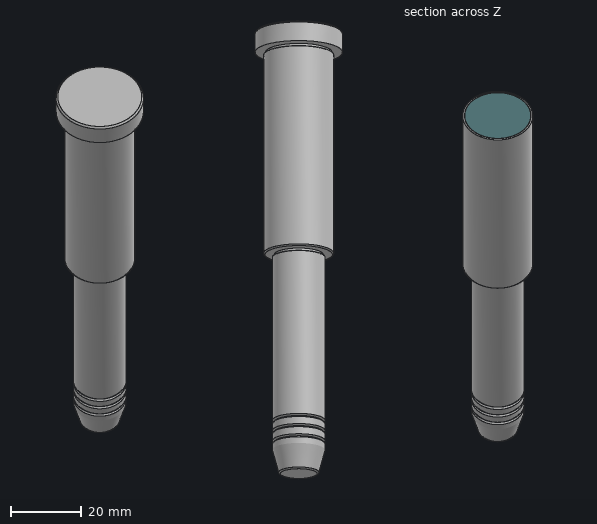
import cadquery as cq
import math

total_length = 131.0
head_diameter = 25.0
head_height = 6.0
head_chamfer = 0.5
body_diameter = 20.0
body_end_depth = 66.0
body_chamfer = 0.4
shank_diameter = 15.0

taper_height = 7.0
taper_angle = 15.0
tip_chamfer = 0.4

relief_depth = 0.5
relief_width = 0.8
groove_depth = 0.5
groove_width = 0.9
groove_count = 3
groove_pitch = 3.0
lowest_groove_height = 9.3

top = total_length / 2
bottom = -total_length / 2
head_bottom = top - head_height
body_bottom = top - body_end_depth
taper_top = bottom + taper_height
tip_diameter = shank_diameter - 2 * taper_height * math.tan(math.radians(taper_angle))


def cylinder(diameter, z_low, z_high):
    return cq.Workplane("XY").workplane(offset=z_low).circle(diameter / 2).extrude(z_high - z_low)


def ring_cut(diameter, depth, z_low, width):
    """Ring that cuts a square groove into a cylinder of the given diameter."""
    return (
        cq.Workplane("XY")
        .workplane(offset=z_low)
        .circle(diameter / 2 + depth)
        .circle(diameter / 2 - depth)
        .extrude(width)
    )


def vee_ring(diameter, depth, z_centre, width):
    """Ring of diamond section that cuts a V-groove into a cylinder of the given diameter."""
    radius = diameter / 2
    section = [
        (radius, z_centre - width / 2),
        (radius - depth, z_centre),
        (radius, z_centre + width / 2),
        (radius + depth, z_centre),
    ]
    return cq.Workplane("XZ").polyline(section).close().revolve(360, (0, 0, 0), (0, 1, 0))


def tapered_tip():
    cone = (
        cq.Workplane("XY")
        .workplane(offset=bottom)
        .circle(tip_diameter / 2)
        .workplane(offset=taper_height)
        .circle(shank_diameter / 2)
        .loft()
    )
    return cone.faces("<Z").chamfer(tip_chamfer)


head = cylinder(head_diameter, head_bottom, top).faces(">Z").chamfer(head_chamfer)
body = cylinder(body_diameter, body_bottom, head_bottom).faces("<Z").chamfer(body_chamfer)
shank = cylinder(shank_diameter, taper_top, body_bottom)

body = body.cut(ring_cut(body_diameter, relief_depth, head_bottom - relief_width, relief_width))
shank = shank.cut(ring_cut(shank_diameter, relief_depth, body_bottom - relief_width, relief_width))

for index in range(groove_count):
    groove_centre = bottom + lowest_groove_height + index * groove_pitch
    shank = shank.cut(vee_ring(shank_diameter, groove_depth, groove_centre, groove_width))

result = head.union(body).union(shank).union(tapered_tip())